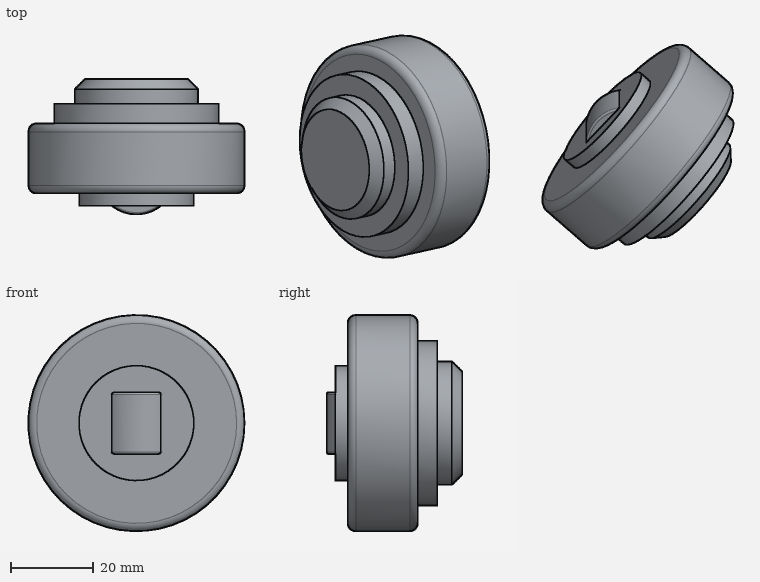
import cadquery as cq

ring_diameter = 52.5
ring_width = 17.0
ring_edge_radius = 2.0
cover_diameter = 27.9
cover_height = 3.0
flange_diameter = 40.0
flange_height = 4.8
hub_diameter = 30.0
hub_height = 6.05
hub_chamfer = 2.5

roller_diameter = 19.0
roller_length = 15.0
roller_protrusion = 2.1
roller_edge_radius = 0.5

ring_front = 0.0
cover_front = ring_front - cover_height
ring_back = ring_front + ring_width
flange_back = ring_back + flange_height
roller_center = cover_front - roller_protrusion + roller_diameter / 2


def disc(diameter, start, length):
    """Round disc along +Y whose front face lies at Y = start."""
    return (
        cq.Workplane("XZ", origin=(0, start, 0))
        .circle(diameter / 2)
        .extrude(-length)
    )


def make_roller():
    """Side roller with rounded end edges."""
    return (
        cq.Workplane("XY", origin=(0, roller_center, -roller_length / 2))
        .circle(roller_diameter / 2)
        .extrude(roller_length)
        .edges("%CIRCLE")
        .fillet(roller_edge_radius)
    )


def make_bearing(roller):
    """Ring, cover, flange and hub, with a recess that fits the roller."""
    ring = disc(ring_diameter, ring_front, ring_width).edges("%CIRCLE").fillet(ring_edge_radius)
    cover = disc(cover_diameter, cover_front, cover_height)
    flange = disc(flange_diameter, ring_back, flange_height)
    hub = disc(hub_diameter, flange_back, hub_height).faces(">Y").chamfer(hub_chamfer)
    return ring.union(cover).union(flange).union(hub).cut(roller)


side_roller = make_roller()
bearing = make_bearing(side_roller)

result = cq.Compound.makeCompound([bearing.solids().val(), side_roller.solids().val()])